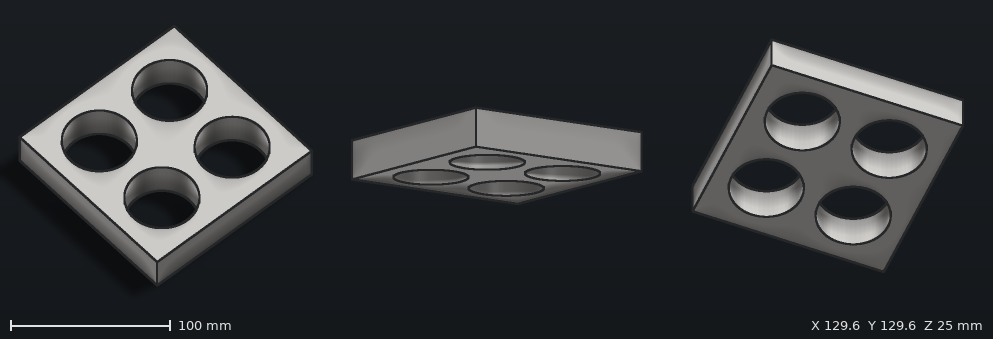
import cadquery as cq

side = 129.6
thickness = 25.0
hole_diameter = 47.0
holes_per_side = 2

wall = (side - holes_per_side * hole_diameter) / (holes_per_side + 1)
hole_pitch = hole_diameter + wall

block = cq.Workplane("XY").box(side, side, thickness)

result = (
    block.faces(">Z")
    .workplane()
    .rarray(hole_pitch, hole_pitch, holes_per_side, holes_per_side)
    .hole(hole_diameter)
)